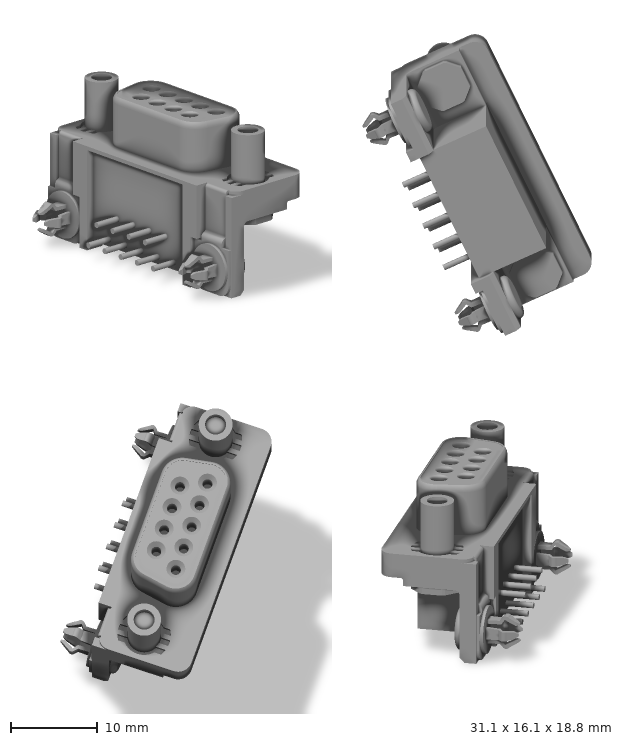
import cadquery as cq
import math


WIDTH = 31.05
DEPTH = 12.5
TOTAL_DEPTH = 16.1
HALF_W = WIDTH / 2
HALF_D = DEPTH / 2
FLANGE_CORNER = 1.6
LIP_THICKNESS = 2.92
SIDE_THICKNESS = 3.88
SHEET = 0.47
BODY_BACK = 3.35
BODY_BOTTOM = -11.83
BODY_HALF_W = 8.15
BODY_FRONT = -5.2
LIP_FILLET = 0.28

LEG_BOTTOM = -12.73
LEG_BACK = -3.35
LEG_FRONT = -5.35
LEG_FILLET = 0.55
LEG_CHAMFER = 0.6
RIB_LOWER_X = -9.47
RIB_STEP_Z = -6.52
NOTCH_EDGE_Y = -4.8
NOTCH_RADIUS = 1.4

POST_X = -12.5
POST_HEIGHT = 5.87
POST_RADIUS = 1.95
POST_BORE_RADIUS = 1.2
POST_BORE_DEPTH = 1.0
RING_RADIUS = 2.42
SLOT_RADIUS = 3.07
MID_SLOT_WIDTH = 0.7
MID_SLOT_HALF_W = MID_SLOT_WIDTH / 2
SIDE_SLOT_INNER = 0.9
SIDE_SLOT_OUTER = 1.6
NUT_HEIGHT = 0.93
NUT_QUARTER = [(2.65, 1.18), (2.48, 1.52), (1.25, 2.8)]

CLIP_Z = -9.53
POCKET_HALF_W = 1.95
POCKET_OUTER_X = POST_X - POCKET_HALF_W
POCKET_INNER_X = POST_X + POCKET_HALF_W
POCKET_FLOOR = -4.65
STRAP_HALF_W = 1.75
STRAP_BEND = 0.4
JOGGLE_FILLET = 0.3
PLATE_HALF_W = 2.92
PLATE_TOP = -6.85
BULGE_LIFT = 0.45
PLATE_THICKNESS = 0.37
PLATE_CORNER = 1.55
DISC_RADIUS = 2.82
DISC_THICKNESS = 0.4
HEAD_RADIUS = 2.67
HEAD_THICKNESS = 0.8
HEAD_FILLET = 0.62
PLATE_FRONT = LEG_FRONT - PLATE_THICKNESS
DISC_FRONT = PLATE_FRONT - DISC_THICKNESS
PRONG_REACH = PLATE_HALF_W
PRONG_TIP = HALF_D - TOTAL_DEPTH

SHELL_HEIGHT = 6.05
SHELL_CORNER = 2.55
SHELL_TOP_X = 5.7
SHELL_BOTTOM_X = 5.18
SHELL_CENTRE_Y = 1.5
SHELL_EDGE_RADIUS = 1.05
SHELL_EDGE_HEIGHT = 0.75
SHELL_RIM_INSET = 0.5
SHELL_RECESS = 0.1

PITCH = 2.75
LONG_ROW = 5
SHORT_ROW = 4
ROW_SPACING = 2.9
ROW_OFFSET = ROW_SPACING / 2
SOCKET_DIAMETER = 1.15
SOCKET_RADIUS = SOCKET_DIAMETER / 2
SOCKET_MOUTH = 1.1
SOCKET_DEPTH = 2.48
PIN_RADIUS = 0.35
PIN_TIP = -8.47
PIN_UPPER_Z = -8.1
PIN_LOWER_Z = -10.93


def box(x0, x1, y0, y1, z0, z1):
    """Box between two opposite corners."""
    return cq.Workplane("XY").box(x1 - x0, y1 - y0, z1 - z0, centered=False).translate((x0, y0, z0))


def both_sides(shape):
    """A left-hand feature together with its mirror image."""
    return shape.union(shape.mirror("YZ"))


def y_cylinder(radius, y0, y1):
    """Cylinder on the clip axis from y0 towards -Y to y1."""
    plane = cq.Workplane("XZ", origin=(POST_X, y0, CLIP_Z))
    return plane.circle(radius).extrude(y0 - y1)


def centre_body():
    """Middle of the flange, with the pin block set back under its front ledge."""
    flange = box(-BODY_HALF_W, BODY_HALF_W, -HALF_D, HALF_D, -SHEET, 0)
    lip = box(-BODY_HALF_W, BODY_HALF_W, BODY_FRONT, HALF_D, -LIP_THICKNESS, 0)
    block = box(-BODY_HALF_W, BODY_HALF_W, BODY_FRONT, BODY_BACK, BODY_BOTTOM, 0)
    return flange.union(lip).union(block)


def side_bracket():
    """L-shaped flange end with its leg, front rib and strap pocket."""
    lip_root = BODY_BACK + LIP_FILLET
    bracket = (
        cq.Workplane("YZ", origin=(-HALF_W, 0, 0))
        .moveTo(LEG_FRONT, 0)
        .lineTo(HALF_D, 0)
        .lineTo(HALF_D, -LIP_THICKNESS)
        .lineTo(lip_root, -LIP_THICKNESS)
        .radiusArc((BODY_BACK, -LIP_THICKNESS - LIP_FILLET), -LIP_FILLET)
        .lineTo(BODY_BACK, -SIDE_THICKNESS)
        .lineTo(LEG_BACK + LEG_FILLET, -SIDE_THICKNESS)
        .radiusArc((LEG_BACK, -SIDE_THICKNESS - LEG_FILLET), -LEG_FILLET)
        .lineTo(LEG_BACK, LEG_BOTTOM + LEG_CHAMFER)
        .lineTo(LEG_BACK - LEG_CHAMFER, LEG_BOTTOM)
        .lineTo(LEG_FRONT, LEG_BOTTOM)
        .close()
        .extrude(HALF_W - BODY_HALF_W)
    )
    bracket = bracket.edges("|Z and <X and >Y").fillet(FLANGE_CORNER)
    upper_rib = box(POCKET_INNER_X, -BODY_HALF_W, -HALF_D, LEG_FRONT, RIB_STEP_Z, 0)
    lower_rib = box(RIB_LOWER_X, -BODY_HALF_W, -HALF_D, LEG_FRONT, LEG_BOTTOM, 0)
    pocket = box(POCKET_OUTER_X, POCKET_INNER_X, -HALF_D, POCKET_FLOOR, PLATE_TOP, 0)
    notch = (
        cq.Workplane("XY")
        .moveTo(-HALF_W, NOTCH_EDGE_Y + NOTCH_RADIUS)
        .radiusArc((-HALF_W + NOTCH_RADIUS, NOTCH_EDGE_Y), -NOTCH_RADIUS)
        .lineTo(-HALF_W + NOTCH_RADIUS, LEG_FRONT)
        .lineTo(-HALF_W, LEG_FRONT)
        .close()
        .extrude(-SHEET)
        .intersect(box(-HALF_W, POCKET_OUTER_X, LEG_FRONT, HALF_D, -SHEET, 0))
    )
    return bracket.union(upper_rib).union(lower_rib).cut(pocket).cut(notch)


def post_clearance():
    """Shallow cut around a post: two side rings and six slots."""
    ring = cq.Workplane("XY").circle(RING_RADIUS).extrude(-SHEET)
    reach = cq.Workplane("XY").circle(SLOT_RADIUS).extrude(-SHEET)
    reach = reach.intersect(box(-SIDE_SLOT_OUTER, SIDE_SLOT_OUTER, -SLOT_RADIUS, SLOT_RADIUS, -SHEET, 0))
    cutter = ring.union(reach)
    for x0, x1 in ((-SIDE_SLOT_INNER, -MID_SLOT_HALF_W), (MID_SLOT_HALF_W, SIDE_SLOT_INNER)):
        cutter = cutter.cut(box(x0, x1, -SLOT_RADIUS, SLOT_RADIUS, -SHEET, 0))
    return cutter.translate((POST_X, 0, 0))


def post():
    """Screw post with a blind bore, rooted down to the nut."""
    base = cq.Workplane("XY", origin=(POST_X, 0, -SIDE_THICKNESS))
    bore = cq.Workplane("XY", origin=(POST_X, 0, POST_HEIGHT)).circle(POST_BORE_RADIUS)
    column = base.circle(POST_RADIUS).extrude(SIDE_THICKNESS + POST_HEIGHT)
    return column.cut(bore.extrude(-POST_BORE_DEPTH))


def nut():
    """Many-sided nut under the flange."""
    half = NUT_QUARTER + [(-x, y) for x, y in reversed(NUT_QUARTER)]
    outline = half + [(-x, -y) for x, y in half]
    plane = cq.Workplane("XY", origin=(POST_X, 0, -SIDE_THICKNESS))
    return plane.polyline(outline).close().extrude(-NUT_HEIGHT)


def strap():
    """Metal strip bent over the flange edge and stepped out to the clip plate."""
    face = POCKET_FLOOR - STRAP_BEND
    bulge = face - PLATE_FRONT
    bulge_z = PLATE_TOP + BULGE_LIFT
    centre_gap = bulge + JOGGLE_FILLET
    rise = math.sqrt(centre_gap**2 - JOGGLE_FILLET**2)
    share = bulge / centre_gap
    tangent_point = (face - JOGGLE_FILLET * share, bulge_z + rise * share)
    return (
        cq.Workplane("YZ", origin=(POST_X - STRAP_HALF_W, 0, 0))
        .moveTo(POCKET_FLOOR, 0)
        .radiusArc((face, -STRAP_BEND), -STRAP_BEND)
        .lineTo(face, bulge_z + rise)
        .radiusArc(tangent_point, JOGGLE_FILLET)
        .radiusArc((PLATE_FRONT, bulge_z), -bulge)
        .lineTo(PLATE_FRONT, PLATE_TOP)
        .lineTo(POCKET_FLOOR, PLATE_TOP)
        .close()
        .extrude(2 * STRAP_HALF_W)
    )


def prong():
    """Bent spring finger pointing to -Y, offset to -X of the clip axis."""
    half_outline = [
        (PLATE_FRONT, 0.75),
        (-7.57, 0.62),
        (-8.7, 0.53),
        (-9.45, 0.4),
        (PRONG_TIP, 0.2),
    ]
    outline = half_outline + [(y, -w) for y, w in reversed(half_outline)]
    bent_bar = (
        cq.Workplane("XY")
        .moveTo(-1.0, PLATE_FRONT)
        .lineTo(-1.43, PLATE_FRONT)
        .lineTo(-1.43, -7.57)
        .lineTo(-1.83, -7.95)
        .threePointArc((-2.0, -8.23), (-1.83, -8.63))
        .lineTo(-1.1, PRONG_TIP)
        .lineTo(-0.9, PRONG_TIP)
        .lineTo(-0.9, -9.37)
        .lineTo(-1.58, -8.15)
        .lineTo(-1.0, -7.75)
        .close()
        .extrude(PRONG_REACH, both=True)
    )
    taper = cq.Workplane("YZ").polyline(outline).close().extrude(PRONG_REACH, both=True)
    return bent_bar.intersect(taper)


def clip():
    """Clip plate, round disc, four prongs and the rounded head behind the leg."""
    plate = box(POST_X - PLATE_HALF_W, POST_X + PLATE_HALF_W, PLATE_FRONT, LEG_FRONT, LEG_BOTTOM, PLATE_TOP)
    plate = plate.edges("|Y and <Z").fillet(PLATE_CORNER)
    disc = y_cylinder(DISC_RADIUS, PLATE_FRONT, DISC_FRONT)
    head = y_cylinder(HEAD_RADIUS, LEG_BACK + HEAD_THICKNESS, LEG_BACK).edges(">Y").fillet(HEAD_FILLET)
    shape = plate.union(disc).union(head)
    finger = prong()
    for quarter_turn in range(4):
        turned = finger.rotate((0, 0, 0), (0, 1, 0), 90 * quarter_turn)
        shape = shape.union(turned.translate((POST_X, 0, CLIP_Z)))
    return shape


def shell_outline(z, offset):
    """Tapered outline at height z, with corner arcs of radius offset."""
    corners = [
        (-SHELL_TOP_X, SHELL_CENTRE_Y),
        (SHELL_TOP_X, SHELL_CENTRE_Y),
        (SHELL_BOTTOM_X, -SHELL_CENTRE_Y),
        (-SHELL_BOTTOM_X, -SHELL_CENTRE_Y),
    ]
    return cq.Workplane("XY", origin=(0, 0, z)).polyline(corners).close().offset2D(offset)


def shell():
    """D-shaped shell whose rolled edge is cut off by the flat top."""
    full_height = SHELL_HEIGHT - SHELL_EDGE_HEIGHT + SHELL_EDGE_RADIUS
    blank = shell_outline(0, SHELL_CORNER).extrude(full_height)
    rolled = blank.faces(">Z").edges().fillet(SHELL_EDGE_RADIUS)
    trimmed = rolled.intersect(box(-HALF_W, HALF_W, -HALF_D, HALF_D, 0, SHELL_HEIGHT))
    recess = shell_outline(SHELL_HEIGHT, SHELL_CORNER - SHELL_RIM_INSET).extrude(-SHELL_RECESS)
    return trimmed.cut(recess)


def row(count):
    """X positions of a centred row of contacts."""
    return [(i - (count - 1) / 2) * PITCH for i in range(count)]


def sockets():
    """Blind contact holes with conical mouths, as cutters."""
    face = SHELL_HEIGHT - SHELL_RECESS
    mouth_depth = SOCKET_MOUTH - SOCKET_RADIUS
    points = [(x, ROW_OFFSET) for x in row(LONG_ROW)] + [(x, -ROW_OFFSET) for x in row(SHORT_ROW)]
    profile = [
        (0, face),
        (SOCKET_MOUTH, face),
        (SOCKET_RADIUS, face - mouth_depth),
        (SOCKET_RADIUS, face - SOCKET_DEPTH),
        (0, face - SOCKET_DEPTH),
    ]
    hole = cq.Workplane("XZ").polyline(profile).close().revolve(360, (0, 0), (0, 1))
    return cq.Workplane("XY").pushPoints(points).eachpoint(lambda loc: hole.val().moved(loc))


def pins():
    """Round solder pins leaving the front of the body in two rows."""
    points = [(x, PIN_UPPER_Z) for x in row(SHORT_ROW)] + [(x, PIN_LOWER_Z) for x in row(LONG_ROW)]
    root_plane = cq.Workplane("XZ", origin=(0, BODY_FRONT, 0))
    return root_plane.pushPoints(points).circle(PIN_RADIUS).extrude(BODY_FRONT - PIN_TIP)


side = side_bracket().union(strap()).union(clip())
side = side.cut(post_clearance()).union(post()).union(nut())
result = centre_body().union(both_sides(side)).union(shell()).cut(sockets()).union(pins())